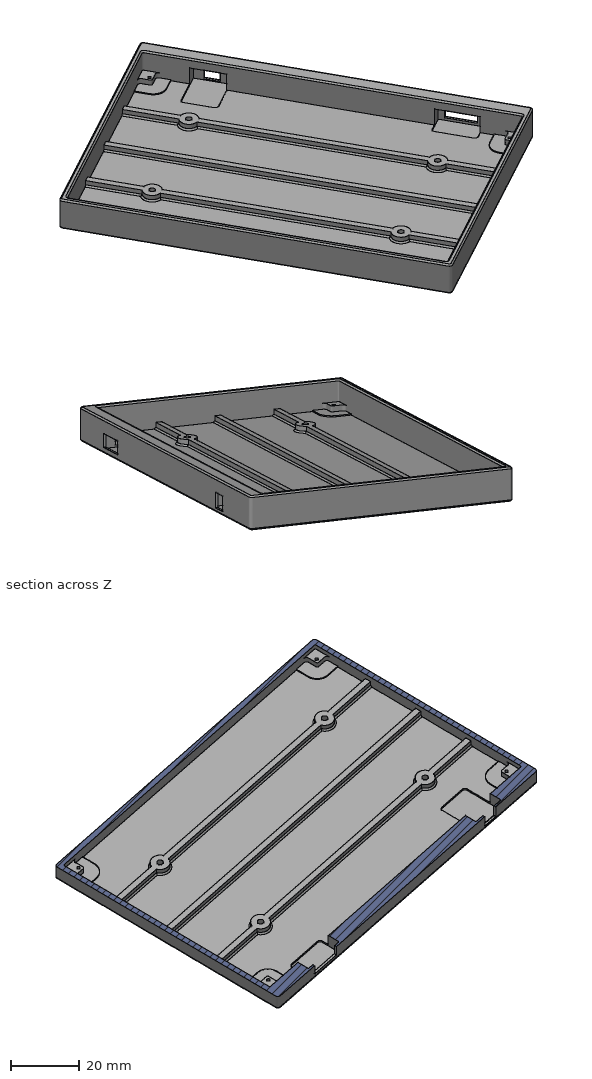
import cadquery as cq
LENGTH = 120.3
WIDTH = 85.04
HEIGHT = 10.4
CORNER_RADIUS = 1.0
EDGE_CHAMFER = 0.5

FLOOR_THICKNESS = 1.5
WALL = 1.95
BACK_WALL = 4.8
CAVITY_CORNER_RADIUS = 0.4
CAVITY_LENGTH = LENGTH - 2 * WALL
CAVITY_WIDTH = WIDTH - WALL - BACK_WALL
CAVITY_CENTRE_Y = (WALL - BACK_WALL) / 2
LAYOUT_Y = -1.4

RIB_HEIGHT = 2.0
RIB_WIDTH = 1.95
RIB_TOP_Z = FLOOR_THICKNESS + RIB_HEIGHT
FOOT_SIZE = 0.5
BOSS_PITCH_X = 76.2
BOSS_PITCH_Y = 38.2
BOSS_DIAMETER = 5.9
BOSS_HOLE_DIAMETER = 1.9
BOSS_HOLE_DEPTH = RIB_HEIGHT

PAD_HEIGHT = 0.35
PAD_LENGTH_X = 8.7
PAD_LENGTH_Y = 8.6
PAD_RADIUS = 4.1
POST_HEIGHT = 2.15
POST_LENGTH_X = 4.2
POST_LENGTH_Y = 4.35
POST_RADIUS = 0.5
POST_FLARE_RADIUS = 1.0
POST_HOLE_DIAMETER = 1.0
POST_HOLE_DEPTH = POST_HEIGHT - PAD_HEIGHT
POST_HOLE_FROM_WALL = 3.05

RECESS_FLOOR_Z = 0.9
RECESS_TOP_Z = 7.2
RECESS_CORNER_RADIUS = 1.0
WINDOW_WALL = 0.8
WINDOW_TOP_Z = 6.0
LEFT_RECESS = {
    "centre_x": -38.1,
    "width": 11.4,
    "front_y": 28.0,
    "window_width": 5.0,
    "window_bottom_z": 1.3,
}
RIGHT_RECESS = {
    "centre_x": 38.2,
    "width": 14.0,
    "front_y": 34.5,
    "window_width": 10.0,
    "window_bottom_z": 1.8,
}


def block(centre_x, width, y_min, y_max, z_min, z_max):
    """Box centred on centre_x, between the given limits in Y and Z."""
    return (
        cq.Workplane("XY")
        .box(width, y_max - y_min, z_max - z_min, centered=(True, False, False))
        .translate((centre_x, y_min, z_min))
    )


def tray():
    """Rounded block hollowed out from the top, with chamfered edges."""
    body = cq.Workplane("XY").box(LENGTH, WIDTH, HEIGHT, centered=(True, True, False))
    body = body.edges("|Z").fillet(CORNER_RADIUS)
    cavity = (
        cq.Workplane("XY", origin=(0, CAVITY_CENTRE_Y, FLOOR_THICKNESS))
        .rect(CAVITY_LENGTH, CAVITY_WIDTH)
        .extrude(HEIGHT - FLOOR_THICKNESS)
        .edges("|Z")
        .fillet(CAVITY_CORNER_RADIUS)
    )
    body = body.cut(cavity)
    return body.faces("<Z or >Z").edges().chamfer(EDGE_CHAMFER)


def footed_profile(half_width):
    """One side of a rib or boss section, from its foot up to its top edge."""
    return [
        (half_width + FOOT_SIZE, FLOOR_THICKNESS),
        (half_width, FLOOR_THICKNESS + FOOT_SIZE),
        (half_width, RIB_TOP_Z),
    ]


def rib(y):
    """Rib running from side wall to side wall."""
    right_side = footed_profile(RIB_WIDTH / 2)
    left_side = [(-across, z) for across, z in reversed(right_side)]
    return (
        cq.Workplane("YZ", origin=(-CAVITY_LENGTH / 2, y, 0))
        .polyline(right_side + left_side)
        .close()
        .extrude(CAVITY_LENGTH)
    )


def boss(x, y):
    """Round boss as high as the ribs."""
    on_axis = [(0, RIB_TOP_Z), (0, FLOOR_THICKNESS)]
    return (
        cq.Workplane("XZ")
        .polyline(footed_profile(BOSS_DIAMETER / 2) + on_axis)
        .close()
        .revolve(360, (0, 0), (0, 1))
        .translate((x, y, 0))
    )


def hole(x, y, top_z, diameter, depth):
    """Blind vertical hole going down from top_z."""
    return cq.Workplane("XY", origin=(x, y, top_z)).circle(diameter / 2).extrude(-depth)


def in_corner(shape, side_x, side_y):
    """Move a shape drawn from a corner at the origin, towards -X and -Y, into a cavity corner."""
    if side_x < 0:
        shape = shape.mirror("YZ")
    if side_y < 0:
        shape = shape.mirror("XZ")
    corner_x = side_x * CAVITY_LENGTH / 2
    corner_y = CAVITY_CENTRE_Y + side_y * CAVITY_WIDTH / 2
    return shape.translate((corner_x, corner_y, FLOOR_THICKNESS))


def corner_pad():
    """Low pad with its free corner rounded."""
    return (
        cq.Workplane("XY")
        .box(PAD_LENGTH_X, PAD_LENGTH_Y, PAD_HEIGHT, centered=False)
        .translate((-PAD_LENGTH_X, -PAD_LENGTH_Y, 0))
        .edges("|Z and <X and <Y")
        .fillet(PAD_RADIUS)
    )


def corner_post():
    """Screw post with its free corner rounded and its sides flared where they meet the walls."""
    post = (
        cq.Workplane("XY")
        .lineTo(-POST_LENGTH_X - POST_FLARE_RADIUS, 0)
        .radiusArc((-POST_LENGTH_X, -POST_FLARE_RADIUS), POST_FLARE_RADIUS)
        .lineTo(-POST_LENGTH_X, POST_RADIUS - POST_LENGTH_Y)
        .radiusArc((POST_RADIUS - POST_LENGTH_X, -POST_LENGTH_Y), -POST_RADIUS)
        .lineTo(-POST_FLARE_RADIUS, -POST_LENGTH_Y)
        .radiusArc((0, -POST_LENGTH_Y - POST_FLARE_RADIUS), POST_FLARE_RADIUS)
        .close()
        .extrude(POST_HEIGHT)
    )
    centre = -POST_HOLE_FROM_WALL
    return post.cut(hole(centre, centre, POST_HEIGHT, POST_HOLE_DIAMETER, POST_HOLE_DEPTH))


def recess(centre_x, width, front_y, window_width, window_bottom_z):
    """Pocket reaching from the floor into the back wall, plus its window."""
    outside_y = WIDTH / 2
    window_y = outside_y - WINDOW_WALL
    pocket = block(centre_x, width, front_y, window_y, RECESS_FLOOR_Z, RECESS_TOP_Z)
    pocket = pocket.edges("|Z and <Y").fillet(RECESS_CORNER_RADIUS)
    window = block(centre_x, window_width, window_y, outside_y, window_bottom_z, WINDOW_TOP_Z)
    return pocket.union(window)


result = tray()

for row in (-1, 0, 1):
    result = result.union(rib(LAYOUT_Y + row * BOSS_PITCH_Y / 2))

for side_x in (-1, 1):
    for side_y in (-1, 1):
        boss_x = side_x * BOSS_PITCH_X / 2
        boss_y = LAYOUT_Y + side_y * BOSS_PITCH_Y / 2
        result = result.union(boss(boss_x, boss_y))
        result = result.cut(hole(boss_x, boss_y, RIB_TOP_Z, BOSS_HOLE_DIAMETER, BOSS_HOLE_DEPTH))
        result = result.union(in_corner(corner_pad(), side_x, side_y))
        result = result.union(in_corner(corner_post(), side_x, side_y))

for place in (LEFT_RECESS, RIGHT_RECESS):
    result = result.cut(recess(**place))